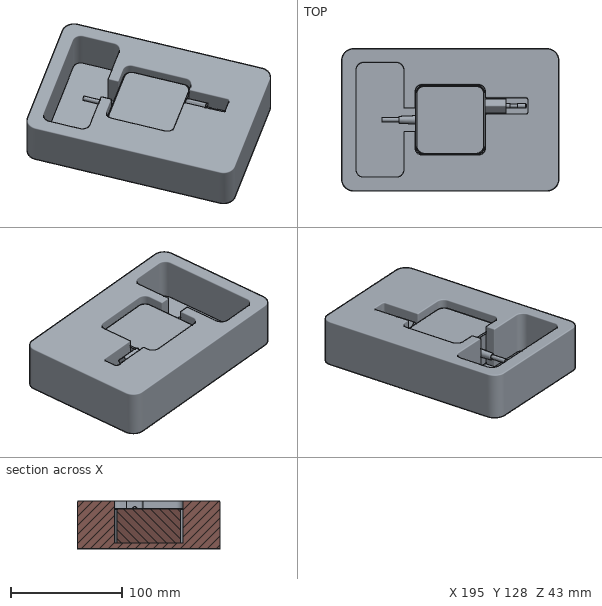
import cadquery as cq
tray_length = 195.0
tray_width = 128.0
tray_height = 43.0
tray_corner_radius = 11.0
edge_fillet = 1.0
floor_height = 5.3

compartment_min_x = -84.6
compartment_max_x = -41.5
compartment_width = 103.0
compartment_corner_radius = 7.0

pocket_size = 63.2
pocket_corner_radius = 6.5
passage_width = 20.9

plug_y = 12.5
slot_width = 14.6
slot_end_x = 69.6
slot_corner_radius = 1.8

block_size = 62.0
block_top = 36.0
block_corner_radius = 7.6
block_edge_chamfer = 1.0

cable_z = 21.3
cable_end_x = -61.2
cable_diameter = 4.0
relief_end_x = -46.0
relief_tip_diameter = 6.2
relief_tip_fillet = 0.8
relief_root_diameter = 7.6

plug_z = 31.5
grip_end_x = 50.0
grip_side = 9.8
grip_edge_radius = 1.2
jack_diameter = 4.0
jack_groove_diameter = 3.3
groove_start_x = 53.8
groove_end_x = 60.5
jack_end_x = 68.5
jack_tip_chamfer = 1.0

block_side_x = block_size / 2


def rounded_block(min_x, max_x, center_y, width, bottom, top, corner_radius):
    """Upright rectangular block with rounded vertical edges."""
    return (
        cq.Workplane("XY", origin=((min_x + max_x) / 2, center_y, bottom))
        .rect(max_x - min_x, width)
        .extrude(top - bottom)
        .edges("|Z")
        .fillet(corner_radius)
    )


def rod(start_x, end_x, diameter, center_y, center_z):
    """Cylinder running along +X."""
    return (
        cq.Workplane("YZ", origin=(start_x, center_y, center_z))
        .circle(diameter / 2)
        .extrude(end_x - start_x)
    )


def make_recess():
    """Joined compartment, passage, pocket and slot, all with one floor."""
    half_pocket = pocket_size / 2
    recess_depth = tray_height - floor_height
    compartment = rounded_block(
        compartment_min_x, compartment_max_x, 0, compartment_width,
        floor_height, tray_height, compartment_corner_radius,
    )
    pocket = rounded_block(
        -half_pocket, half_pocket, 0, pocket_size,
        floor_height, tray_height, pocket_corner_radius,
    )
    slot = rounded_block(
        0, slot_end_x, plug_y, slot_width,
        floor_height, tray_height, slot_corner_radius,
    )
    passage_start_x = (compartment_min_x + compartment_max_x) / 2
    passage = cq.Workplane("XY").box(
        -passage_start_x, passage_width, recess_depth, centered=(False, True, False)
    ).translate((passage_start_x, 0, floor_height))
    recess = compartment.union(passage).union(pocket).union(slot)

    openings = (
        (compartment_max_x, 0, passage_width),
        (-half_pocket, 0, passage_width),
        (half_pocket, plug_y, slot_width),
    )
    for x, center_y, width in openings:
        for side in (-1, 1):
            edge_point = (x, center_y + side * width / 2, floor_height + recess_depth / 2)
            recess = recess.edges(cq.NearestToPointSelector(edge_point)).fillet(edge_fillet)
    return recess


def make_tray():
    """Rounded tray, with the rims of its top face filleted."""
    body = rounded_block(
        -tray_length / 2, tray_length / 2, 0, tray_width,
        0, tray_height, tray_corner_radius,
    )
    return body.cut(make_recess()).faces(">Z").edges().fillet(edge_fillet)


def make_block():
    block = rounded_block(
        -block_side_x, block_side_x, 0, block_size,
        floor_height, block_top, block_corner_radius,
    )
    return block.faces(">Z").edges().chamfer(block_edge_chamfer)


def make_cable_outlet():
    """Tapered strain relief with a cut-off length of cable."""
    relief = (
        cq.Workplane("YZ", origin=(relief_end_x, 0, cable_z))
        .circle(relief_tip_diameter / 2)
        .workplane(offset=-block_side_x - relief_end_x)
        .circle(relief_root_diameter / 2)
        .loft()
        .faces("<X")
        .edges()
        .fillet(relief_tip_fillet)
    )
    return relief.union(rod(cable_end_x, relief_end_x, cable_diameter, 0, cable_z))


def make_plug():
    """Square grip standing on edge, rooted in the block, with a grooved jack in front."""
    grip = (
        cq.Workplane("YZ", origin=(block_side_x, plug_y, plug_z))
        .transformed(rotate=(0, 0, 45))
        .rect(grip_side, grip_side)
        .extrude(grip_end_x - block_side_x)
        .edges("|X")
        .fillet(grip_edge_radius)
    )
    jack_root = rod(grip_end_x, groove_start_x, jack_diameter, plug_y, plug_z)
    jack_groove = rod(groove_start_x, groove_end_x, jack_groove_diameter, plug_y, plug_z)
    jack_tip = rod(groove_end_x, jack_end_x, jack_diameter, plug_y, plug_z)
    jack_tip = jack_tip.faces(">X").chamfer(jack_tip_chamfer)
    return grip.union(jack_root).union(jack_groove).union(jack_tip)


tray = make_tray()
adapter = make_block().union(make_cable_outlet()).union(make_plug())

result = cq.Compound.makeCompound([tray.val(), adapter.val()])